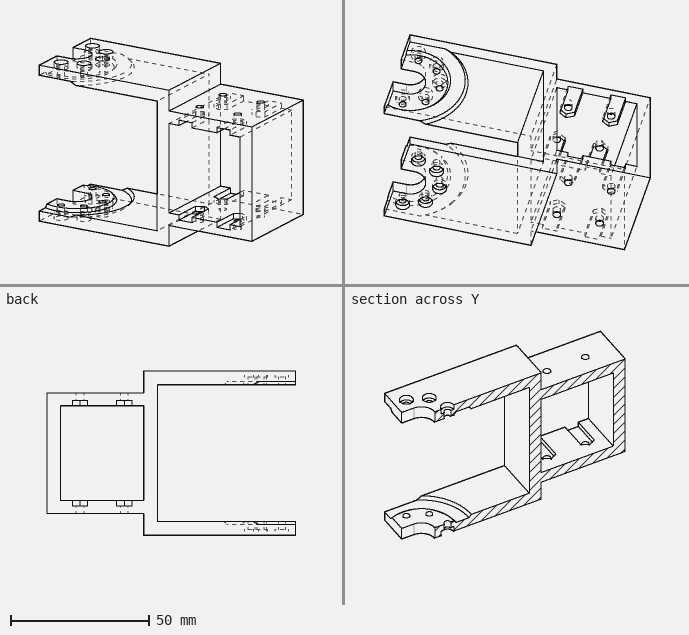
import cadquery as cq
import math

length = 90.0
width = 36.0
fork_height = 59.5
box_height = 43.65

fork_wall = 5.0
box_side_wall = 4.8
box_end_wall = 5.0
fork_length = 55.0

pivot_x = 5.0
slot_width = 11.0
bolt_circle_radius = 10.9
bolt_angles = (-90, -45, 0, 45, 90)
bolt_diameter = 2.5
counterbore_diameter = 5.0
counterbore_depth = 2.2

groove_depth = 1.2
groove_inner_radius = 13.5
groove_outer_radius = 20.8
groove_slope_width = 1.0

mount_diameter = 2.8
mount_spacing = 16.0
nut_width = 5.5
nut_depth = 2.0

fork_inner_half = fork_height / 2 - fork_wall
box_inner_half = box_height / 2 - box_side_wall
box_center_x = (fork_length + length - box_end_wall) / 2


def block(x_start, x_end, height):
    """Full-width block centred on Y = 0 and Z = 0."""
    return (
        cq.Workplane("XY")
        .box(x_end - x_start, width, height)
        .translate(((x_start + x_end) / 2, 0, 0))
    )


def both_sides(upper_tool):
    """A cutting tool for the upper wall together with its mirror image for the lower wall."""
    return upper_tool.union(upper_tool.mirror("XY"))


def frame():
    """Open fork joined to a closed box of lower height."""
    fork = block(0, fork_length, fork_height)
    fork = fork.cut(block(0, fork_length - fork_wall, 2 * fork_inner_half))
    box = block(fork_length, length, box_height)
    box = box.cut(block(fork_length, length - box_end_wall, 2 * box_inner_half))
    return fork.union(box)


def tip_slot():
    """Round-ended slot, open at the fork tips."""
    straight = cq.Workplane("XY").box(2 * pivot_x, slot_width, fork_height)
    round_end = cq.Workplane("XY").center(pivot_x, 0).circle(slot_width / 2)
    return straight.union(round_end.extrude(fork_height / 2, both=True))


def bolt_holes():
    """Counterbored holes around the pivot axis, with the counterbores on the outer faces."""
    points = [
        (
            pivot_x + bolt_circle_radius * math.cos(math.radians(angle)),
            bolt_circle_radius * math.sin(math.radians(angle)),
        )
        for angle in bolt_angles
    ]
    holes = (
        cq.Workplane("XY")
        .pushPoints(points)
        .circle(bolt_diameter / 2)
        .extrude(fork_height / 2)
    )
    counterbores = (
        cq.Workplane("XY", origin=(0, 0, fork_height / 2))
        .pushPoints(points)
        .circle(counterbore_diameter / 2)
        .extrude(-counterbore_depth)
    )
    return both_sides(holes.union(counterbores))


def ring_groove():
    """Ring around the pivot axis, widest at the inner faces of the fork."""
    floor_z = fork_inner_half + groove_depth
    ring = (
        cq.Workplane("XZ")
        .moveTo(groove_inner_radius, fork_inner_half)
        .lineTo(groove_outer_radius, fork_inner_half)
        .lineTo(groove_outer_radius - groove_slope_width, floor_z)
        .lineTo(groove_inner_radius + groove_slope_width, floor_z)
        .close()
        .revolve(360, (0, 0, 0), (0, 1, 0))
        .translate((pivot_x, 0, 0))
    )
    return both_sides(ring)


def nut_channel():
    """Channel with a pointed hexagonal end at the origin, running out towards -Y."""
    half_width = nut_width / 2
    corner_y = half_width * math.tan(math.radians(30))
    tip_y = half_width / math.cos(math.radians(30))
    return (
        cq.Workplane("XY", origin=(0, 0, box_inner_half))
        .moveTo(-half_width, -width)
        .lineTo(-half_width, corner_y)
        .lineTo(0, tip_y)
        .lineTo(half_width, corner_y)
        .lineTo(half_width, -width)
        .close()
        .extrude(nut_depth)
    )


def box_mounts():
    """Square pattern of holes; each nut channel opens at the nearest side of the box."""
    half_spacing = mount_spacing / 2
    tools = (
        cq.Workplane("XY")
        .center(box_center_x, 0)
        .rect(mount_spacing, mount_spacing, forConstruction=True)
        .vertices()
        .circle(mount_diameter / 2)
        .extrude(box_height / 2)
    )
    for side in (-1, 1):
        channel = nut_channel().translate(
            (box_center_x + side * half_spacing, -half_spacing, 0)
        )
        tools = tools.union(channel).union(channel.mirror("XZ"))
    return both_sides(tools)


result = (
    frame()
    .cut(tip_slot())
    .cut(bolt_holes())
    .cut(ring_groove())
    .cut(box_mounts())
)